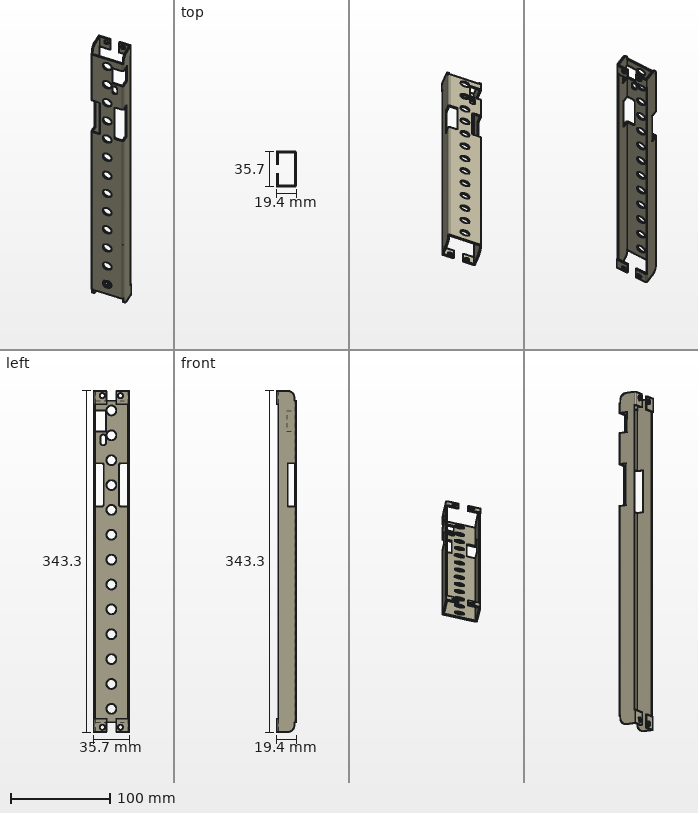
import cadquery as cq

depth = 19.41
width = 35.66
height = 343.26
thickness = 1.5
bend_radius = 1.5
wall_corner_radius = 7.0

tab_height = 13.7
tab_gap = 9.7
tab_corner_radius = 1.0
tab_hole_diameter = 5.0
tab_hole_spacing = 18.2
tab_hole_inset = 4.9

web_setback = 9.8

hole_count = 13
hole_pitch = 25.0
hole_diameter = 9.7
first_hole_drop = 19.8

slot_drop = 72.9
slot_height = 43.4
slot_inner_y = 7.7
slot_depth = 8.2
slot_corner_radius = 2.0

window_drop = 19.9
window_height = 20.8
window_inner_y = 5.6
window_depth = 9.5

oblong_y = 8.2
oblong_drop = 44.1
oblong_length = 10.6
oblong_width = 5.4

half_width = width / 2
wall_inner_y = half_width - thickness
web_inner_x = depth - thickness
wall_end_x = depth - bend_radius


def box(x_range, y_range, z_range):
    """Axis-aligned box between pairs of coordinates."""
    low, high = zip(x_range, y_range, z_range)
    size = [b - a for a, b in zip(low, high)]
    return cq.Workplane("XY").box(*size, centered=False).translate(low)


def yz_plane(x):
    """Workplane facing +X whose local axes are Y and Z."""
    return cq.Workplane("YZ", origin=(x, 0, 0))


def make_web():
    """Web with its two rounded bends, as a shallow U section."""
    z_range = (web_setback, height - web_setback)
    outer = box((wall_end_x - thickness, depth), (-half_width, half_width), z_range)
    outer = outer.edges("|Z and >X").fillet(bend_radius)
    inner = box((0, web_inner_x), (-wall_inner_y, wall_inner_y), z_range)
    return outer.cut(inner)


def make_wall(side):
    """Side wall between the tab bends and the web bend; side is +1 or -1 along Y."""
    y_range = sorted((side * wall_inner_y, side * half_width))
    wall = box((bend_radius, wall_end_x), y_range, (0, height))
    return wall.edges("|Y and >X").fillet(wall_corner_radius)


def make_tab(side, at_top):
    """End tab folded in from a wall, with its mounting hole."""
    low_z = height - tab_height if at_top else 0
    z_range = (low_z, low_z + tab_height)
    inner_y = side * tab_gap / 2
    outer = box((0, bend_radius + thickness), sorted((inner_y, side * half_width)), z_range)
    if at_top == (side > 0):
        bend_edge = ">Y" if side > 0 else "<Y"
        outer = outer.edges("|Z and <X").edges(bend_edge).fillet(bend_radius)
    inner = box((thickness, depth), sorted((inner_y, side * wall_inner_y)), z_range)
    tab = outer.cut(inner)

    free_side = "<Y" if side > 0 else ">Y"
    end = ">Z" if at_top else "<Z"
    tab = tab.faces(free_side).edges(end).fillet(tab_corner_radius)

    hole_z = height - tab_hole_inset if at_top else tab_hole_inset
    hole_place = (side * tab_hole_spacing / 2, hole_z)
    hole = yz_plane(0).pushPoints([hole_place]).circle(tab_hole_diameter / 2).extrude(thickness)
    return tab.cut(hole)


def make_web_holes():
    """Cutter for the row of round holes and the oblong hole."""
    first_z = height - first_hole_drop
    centres = [(0, first_z - i * hole_pitch) for i in range(hole_count)]
    row = yz_plane(web_inner_x).pushPoints(centres).circle(hole_diameter / 2).extrude(thickness)
    oblong_z = height - oblong_drop - oblong_length / 2
    oblong = yz_plane(web_inner_x).center(oblong_y, oblong_z)
    return row.union(oblong.slot2D(oblong_length, oblong_width, 90).extrude(thickness))


def make_corner_cutter(side, inner_y, reach, drop, length):
    """Block that opens the web and one wall along their shared bend."""
    top_z = height - drop
    y_range = sorted((side * inner_y, side * half_width))
    return box((depth - reach, depth), y_range, (top_z - length, top_z))


def make_slot_cutter(side):
    cutter = make_corner_cutter(side, slot_inner_y, slot_depth, slot_drop, slot_height)
    web_side = "<Y" if side > 0 else ">Y"
    return cutter.edges("|X").edges(web_side).fillet(slot_corner_radius)


channel = make_web()
for side in (-1, 1):
    channel = channel.union(make_wall(side))
    for at_top in (False, True):
        channel = channel.union(make_tab(side, at_top))

channel = channel.cut(make_web_holes())
for side in (-1, 1):
    channel = channel.cut(make_slot_cutter(side))
channel = channel.cut(make_corner_cutter(1, window_inner_y, window_depth, window_drop, window_height))

result = channel